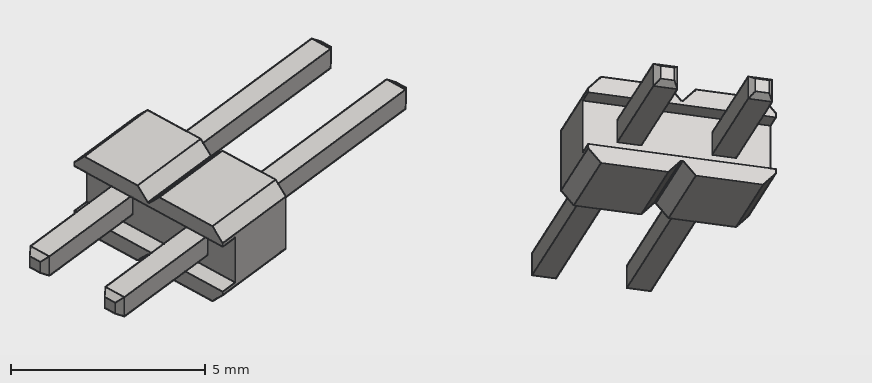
import cadquery as cq

pin_count = 2
pitch = 2.54
cell_size = 2.5
edge_chamfer_x = 0.35
edge_chamfer_z = 0.38
recess_height = 1.5
recess_depth = 0.5
pin_side = 0.64
front_length = 3.0
total_length = 11.5
tip_length = 0.2
tip_inset = 0.14

body_width = (pin_count - 1) * pitch + cell_size
half_height = cell_size / 2
shoulder_z = half_height - edge_chamfer_z
pin_positions = [(i - (pin_count - 1) / 2) * pitch for i in range(pin_count)]


def make_body():
    """Row of cells with chamfered edges, joined below the notches."""
    top_edge = []
    for x in pin_positions:
        left = x - cell_size / 2
        right = x + cell_size / 2
        top_edge += [
            (left, shoulder_z),
            (left + edge_chamfer_x, half_height),
            (right - edge_chamfer_x, half_height),
            (right, shoulder_z),
        ]
    bottom_edge = [(x, -z) for x, z in reversed(top_edge)]
    body = cq.Workplane("XZ").polyline(top_edge + bottom_edge).close().extrude(-cell_size)
    recess = cq.Workplane("XY").box(body_width, recess_depth, recess_height, centered=(True, False, True))
    return body.cut(recess)


def make_tip(x, base_y, end_y):
    """Square pin end tapering from base_y to end_y."""
    tip_side = pin_side - 2 * tip_inset
    return (
        cq.Workplane("XZ", origin=(x, base_y, 0))
        .rect(pin_side, pin_side)
        .workplane(offset=base_y - end_y)
        .rect(tip_side, tip_side)
        .loft(ruled=True)
    )


def make_pin(x):
    """Square pin with a tapered tip at each end."""
    front_y = -front_length
    back_y = front_y + total_length
    shank_start = front_y + tip_length
    shank_end = back_y - tip_length
    shank = (
        cq.Workplane("XZ", origin=(x, shank_start, 0))
        .rect(pin_side, pin_side)
        .extrude(shank_start - shank_end)
    )
    return shank.union(make_tip(x, shank_start, front_y)).union(make_tip(x, shank_end, back_y))


result = make_body()
for pin_x in pin_positions:
    result = result.union(make_pin(pin_x))